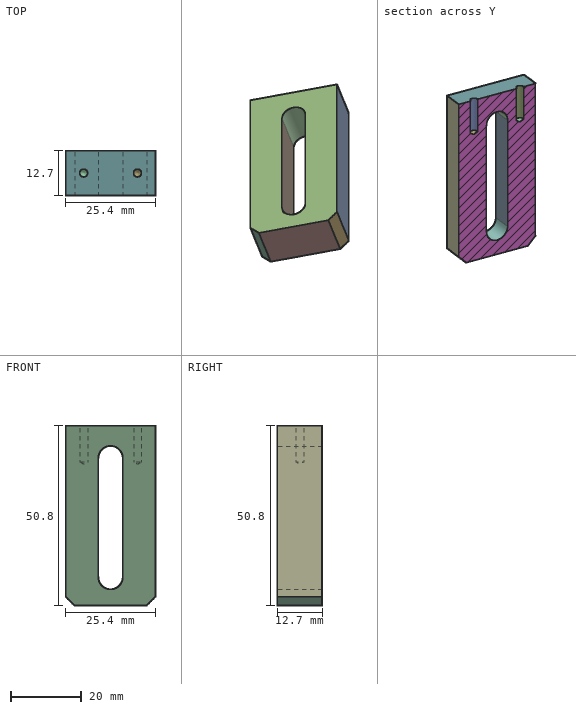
import cadquery as cq
import math

width = 25.4
thickness = 12.7
height = 50.8
corner_chamfer = 2.55

slot_width = 6.8
slot_top_margin = 5.8
slot_bottom_margin = 4.6
slot_length = height - slot_top_margin - slot_bottom_margin
slot_center_z = slot_bottom_margin + slot_length / 2

hole_diameter = 2.25
hole_spacing = 15.2
hole_depth = 10.15
drill_tip_angle = 118.0


def make_block():
    """Upright block with its two lower side edges chamfered."""
    block = cq.Workplane("XY").box(width, thickness, height, centered=(True, True, False))
    return block.faces("<Z").edges("|Y").chamfer(corner_chamfer)


def make_slot():
    """Upright round-ended slot running right through the thickness."""
    return (
        cq.Workplane("XZ", origin=(0, 0, slot_center_z))
        .slot2D(slot_length, slot_width, 90)
        .extrude(thickness / 2, both=True)
    )


def make_drilled_hole(x):
    """Blind hole from the top face, ending in a conical drill tip."""
    radius = hole_diameter / 2
    tip_depth = radius / math.tan(math.radians(drill_tip_angle / 2))
    floor_z = height - hole_depth
    return (
        cq.Workplane("XZ", origin=(x, 0, 0))
        .moveTo(0, height)
        .lineTo(radius, height)
        .lineTo(radius, floor_z)
        .lineTo(0, floor_z - tip_depth)
        .close()
        .revolve(360, (0, 0, 0), (0, 1, 0))
    )


result = make_block().cut(make_slot())
for side in (-1, 1):
    result = result.cut(make_drilled_hole(side * hole_spacing / 2))